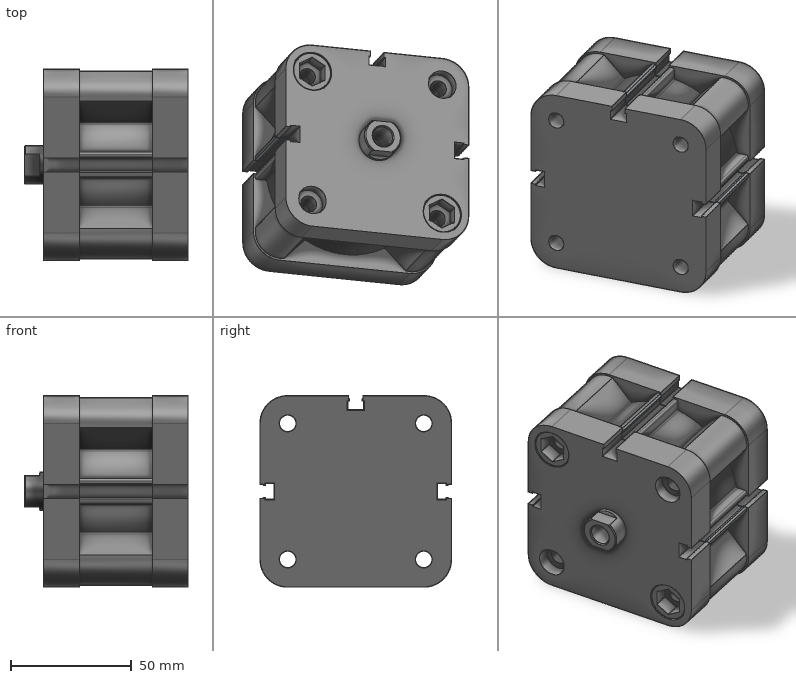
import cadquery as cq
import math


HOUSING_LENGTH = 60.0
COVER_LENGTH = 14.9
BARREL_LENGTH = HOUSING_LENGTH - 2 * COVER_LENGTH
ROD_PROTRUSION = 7.95

COVER_SIZE = 79.5
COVER_CORNER_RADIUS = 11.5
COVER_SLOT_MOUTH_WIDTH = 5.9
COVER_SLOT_WIDTH = 7.15
COVER_SLOT_DEPTH = 6.1
COVER_LIP_DEPTH = 2.15

HOLE_OFFSET = 28.2
THROUGH_HOLE_DIAMETER = 6.8
COUNTERBORE_DIAMETER = 11.9
COUNTERBORE_DEPTH = 5.3
HEAD_BORE_DIAMETER = 16.6
HEAD_DIAMETER = 16.0
HEAD_RECESS = 0.4
HEAD_GROOVE_DEPTH = COUNTERBORE_DEPTH
HEX_ACROSS_FLATS = 11.0
HEX_DEPTH = 6.8

CORE_RADIUS = 34.35
POST_WIDTH = 17.5
POST_RADIUS = 10.7
RAIL_INSET = 0.755
RAIL_HEIGHT = COVER_SIZE / 2 - RAIL_INSET
RAIL_WIDTH = 10.65
RAIL_EDGE_RADIUS = 1.0
ROOT_RADIUS = 0.7
POSITION_TOLERANCE = 0.01
RAIL_MOUTH_WIDTH = 6.5
RAIL_THROAT_WIDTH = 5.1
RAIL_SLOT_WIDTH = 6.5
RAIL_CHAMFER_DEPTH = 0.8
RAIL_LIP_DEPTH = 1.6
RAIL_SLOT_DEPTH = 5.1

ROD_DIAMETER = 16.0
ROD_LENGTH = ROD_PROTRUSION + COVER_LENGTH
ROD_CHAMFER = 0.5
FLATS_WIDTH = 13.0
FLATS_LENGTH = 6.2
FLATS_RUNOUT = 0.3
ROD_HOLE_DIAMETER = 8.5
ROD_HOLE_CHAMFER = 0.5
ROD_HOLE_DEPTH = 15.9
DRILL_TIP_ANGLE = 118.0

SLOT_TURNS = (0, 90, -90)
SOCKET_CORNERS = [(HOLE_OFFSET, HOLE_OFFSET), (-HOLE_OFFSET, -HOLE_OFFSET)]
PLAIN_CORNERS = [(-HOLE_OFFSET, HOLE_OFFSET), (HOLE_OFFSET, -HOLE_OFFSET)]
ALL_CORNERS = SOCKET_CORNERS + PLAIN_CORNERS


def across(x):
    """Workplane square to the rod axis at x, with local axes Y and Z and normal +X."""
    return cq.Workplane("YZ", origin=(x, 0, 0))


def turned(shape, angle):
    """The shape turned about the rod axis."""
    return shape.rotate((0, 0, 0), (1, 0, 0), angle)


def mirrored_prism(half_outline, x, length):
    """Prism along X whose outline is half_outline and its mirror image across the Z axis."""
    mirror_half = [(-y, z) for y, z in reversed(half_outline)]
    return across(x).polyline(half_outline + mirror_half).close().extrude(length)


def through_holes(x, length):
    return across(x).pushPoints(ALL_CORNERS).circle(THROUGH_HOLE_DIAMETER / 2).extrude(length)



def make_cover(x):
    """Square cover with rounded corners, three T-slots and four through holes."""
    cover = across(x).rect(COVER_SIZE, COVER_SIZE).extrude(COVER_LENGTH)
    cover = cover.edges("|X").fillet(COVER_CORNER_RADIUS)
    top = COVER_SIZE / 2
    slot_outline = [
        (COVER_SLOT_MOUTH_WIDTH / 2, top),
        (COVER_SLOT_MOUTH_WIDTH / 2, top - COVER_LIP_DEPTH),
        (COVER_SLOT_WIDTH / 2, top - COVER_LIP_DEPTH),
        (COVER_SLOT_WIDTH / 2, top - COVER_SLOT_DEPTH),
    ]
    slot = mirrored_prism(slot_outline, x, COVER_LENGTH)
    for angle in SLOT_TURNS:
        cover = cover.cut(turned(slot, angle))
    return cover.cut(through_holes(x, COVER_LENGTH))


def make_front_cover():
    """Cover with the rod bore, two recessed hexagon socket heads and two counterbores."""
    cover = make_cover(0)
    rod_bore = across(0).circle(ROD_DIAMETER / 2).extrude(COVER_LENGTH)
    counterbores = (
        across(0).pushPoints(PLAIN_CORNERS).circle(COUNTERBORE_DIAMETER / 2).extrude(COUNTERBORE_DEPTH)
    )
    head_grooves = (
        across(0)
        .pushPoints(SOCKET_CORNERS)
        .circle(HEAD_BORE_DIAMETER / 2)
        .circle(HEAD_DIAMETER / 2)
        .extrude(HEAD_GROOVE_DEPTH)
    )
    head_recesses = across(0).pushPoints(SOCKET_CORNERS).circle(HEAD_BORE_DIAMETER / 2).extrude(HEAD_RECESS)
    cover = cover.cut(rod_bore).cut(counterbores).cut(head_grooves).cut(head_recesses)
    hex_across_corners = HEX_ACROSS_FLATS / math.cos(math.pi / 6)
    for y, z in SOCKET_CORNERS:
        socket = across(0).polygon(6, hex_across_corners).extrude(HEX_DEPTH)
        cover = cover.cut(turned(socket, 90).translate((0, y, z)))
    return cover



def make_post():
    """Corner post on the +Z side: a straight band that ends in an arc about the screw axis."""
    half_width = POST_WIDTH / 2
    screw_radius = HOLE_OFFSET * math.sqrt(2)
    shoulder = screw_radius + math.sqrt(POST_RADIUS**2 - half_width**2)
    return (
        across(COVER_LENGTH)
        .moveTo(-half_width, 0)
        .lineTo(half_width, 0)
        .lineTo(half_width, shoulder)
        .threePointArc((0, screw_radius + POST_RADIUS), (-half_width, shoulder))
        .close()
        .extrude(BARREL_LENGTH)
    )


def make_rail():
    """Ridge on the +Z side that carries a sensor slot, with rounded outer edges."""
    outline = [(RAIL_WIDTH / 2, RAIL_HEIGHT), (RAIL_WIDTH / 2, 0)]
    rail = mirrored_prism(outline, COVER_LENGTH, BARREL_LENGTH)
    return rail.faces(">Z").edges("|X").fillet(RAIL_EDGE_RADIUS)


def make_rail_slot():
    """T-slot on the +Z side with a tapered mouth."""
    top = RAIL_HEIGHT
    outline = [
        (RAIL_MOUTH_WIDTH / 2, top),
        (RAIL_THROAT_WIDTH / 2, top - RAIL_CHAMFER_DEPTH),
        (RAIL_THROAT_WIDTH / 2, top - RAIL_LIP_DEPTH),
        (RAIL_SLOT_WIDTH / 2, top - RAIL_LIP_DEPTH),
        (RAIL_SLOT_WIDTH / 2, top - RAIL_SLOT_DEPTH),
    ]
    return mirrored_prism(outline, COVER_LENGTH, BARREL_LENGTH)


def meets_core(edge):
    """True for the lengthwise edges where a post or a rail rises from the core."""
    middle = edge.Center()
    return abs(math.hypot(middle.y, middle.z) - CORE_RADIUS) < POSITION_TOLERANCE


def make_barrel():
    """Round core with four corner posts and three slotted rails, pierced by the screw holes."""
    barrel = across(COVER_LENGTH).circle(CORE_RADIUS).extrude(BARREL_LENGTH)
    for angle in (45, 135, 225, 315):
        barrel = barrel.union(turned(make_post(), angle))
    for angle in SLOT_TURNS:
        barrel = barrel.union(turned(make_rail(), angle))
    barrel = barrel.edges("|X").filter(meets_core).fillet(ROOT_RADIUS)
    for angle in SLOT_TURNS:
        barrel = barrel.cut(turned(make_rail_slot(), angle))
    return barrel.cut(through_holes(COVER_LENGTH, BARREL_LENGTH))



def make_rod():
    """Rod with two wrench flats above and below and a blind hole in its end."""
    tip = -ROD_PROTRUSION
    radius = ROD_DIAMETER / 2
    rod = across(tip).circle(radius).extrude(ROD_LENGTH).faces("<X").chamfer(ROD_CHAMFER)

    flat_end = tip + FLATS_LENGTH
    flat_cut = (
        cq.Workplane("XZ")
        .moveTo(tip, FLATS_WIDTH / 2)
        .lineTo(flat_end, FLATS_WIDTH / 2)
        .lineTo(flat_end + FLATS_RUNOUT, radius)
        .lineTo(tip, radius)
        .close()
        .extrude(radius, both=True)
    )
    rod = rod.cut(flat_cut).cut(turned(flat_cut, 180))

    hole_radius = ROD_HOLE_DIAMETER / 2
    drill_tip_length = hole_radius / math.tan(math.radians(DRILL_TIP_ANGLE / 2))
    hole = (
        cq.Workplane("XZ")
        .moveTo(tip, 0)
        .lineTo(tip, hole_radius + ROD_HOLE_CHAMFER)
        .lineTo(tip + ROD_HOLE_CHAMFER, hole_radius)
        .lineTo(tip + ROD_HOLE_DEPTH, hole_radius)
        .lineTo(tip + ROD_HOLE_DEPTH + drill_tip_length, 0)
        .close()
        .revolve(360, (0, 0, 0), (1, 0, 0))
    )
    return rod.cut(hole)


front_cover = make_front_cover()
barrel = make_barrel()
rear_cover = make_cover(COVER_LENGTH + BARREL_LENGTH)
rod = make_rod()

result = cq.Compound.makeCompound([front_cover.val(), barrel.val(), rear_cover.val(), rod.val()])